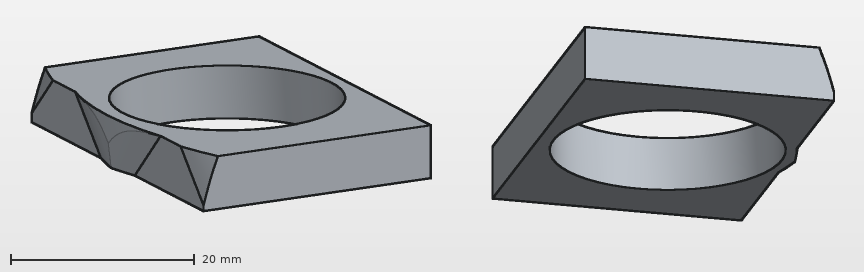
import cadquery as cq
import math

length = 40.0
thickness = 6.0
hole_diameter = 25.7
hole_to_back = 14.5
hole_to_front = 13.5

bulge_width = 20.0
bulge_height = 1.27

barrel_radius = 25.0
barrel_tilt = 45.0
left_barrel_spacing = 25.0
left_barrel_offset = -8.5
right_barrel_spacing = 24.5
right_barrel_offset = 8.4
barrel_length = 4 * length

front_y = -hole_to_front
half_length = length / 2
half_depth = (hole_to_back + hole_to_front) / 2


def make_plate():
    """Rectangular plate around the hole axis."""
    return (
        cq.Workplane("XY")
        .center(0, hole_to_back - half_depth)
        .rect(length, 2 * half_depth)
        .extrude(thickness)
    )


def make_bulge():
    """Shallow vertical cylinder segment standing on the front face."""
    half_width = bulge_width / 2
    return (
        cq.Workplane("XY")
        .moveTo(-half_width, front_y)
        .threePointArc((0, front_y - bulge_height), (half_width, front_y))
        .close()
        .extrude(thickness)
    )


def make_barrel(spacing, offset, tilt):
    """Cylinder tilted in the XZ plane, with its axis crossing the bottom face at X = offset."""
    half_chord = spacing / 2 * math.cos(math.radians(tilt))
    axis_depth = math.sqrt(barrel_radius**2 - half_chord**2)
    return (
        cq.Workplane("XY")
        .circle(barrel_radius)
        .extrude(barrel_length / 2, both=True)
        .rotate((0, 0, 0), (0, 1, 0), tilt)
        .translate((offset, front_y + axis_depth, 0))
    )


def make_trimmed_half(plate, barrel, side):
    """Left (side -1) or right (side +1) plate half, its upper front corner trimmed by the barrel."""
    half_block = cq.Workplane("XY").box(half_length, 4 * half_depth, 2 * thickness)
    half_plate = plate.intersect(half_block.translate((side * half_length / 2, 0, 0)))
    rear_block = cq.Workplane("XY").box(length, 2 * half_depth, 2 * thickness)
    rear_block = rear_block.translate((0, half_depth, 0))
    return half_plate.intersect(barrel.union(rear_block))


def make_hole():
    """Cutter for the round through hole."""
    return cq.Workplane("XY").circle(hole_diameter / 2).extrude(thickness)


plate = make_plate()
left_barrel = make_barrel(left_barrel_spacing, left_barrel_offset, barrel_tilt)
right_barrel = make_barrel(right_barrel_spacing, right_barrel_offset, -barrel_tilt)
left_half = make_trimmed_half(plate, left_barrel, -1)
right_half = make_trimmed_half(plate, right_barrel, 1)
bulge = make_bulge().intersect(left_barrel).intersect(right_barrel)
body = left_half.union(right_half).union(bulge).clean()
result = body.cut(make_hole())